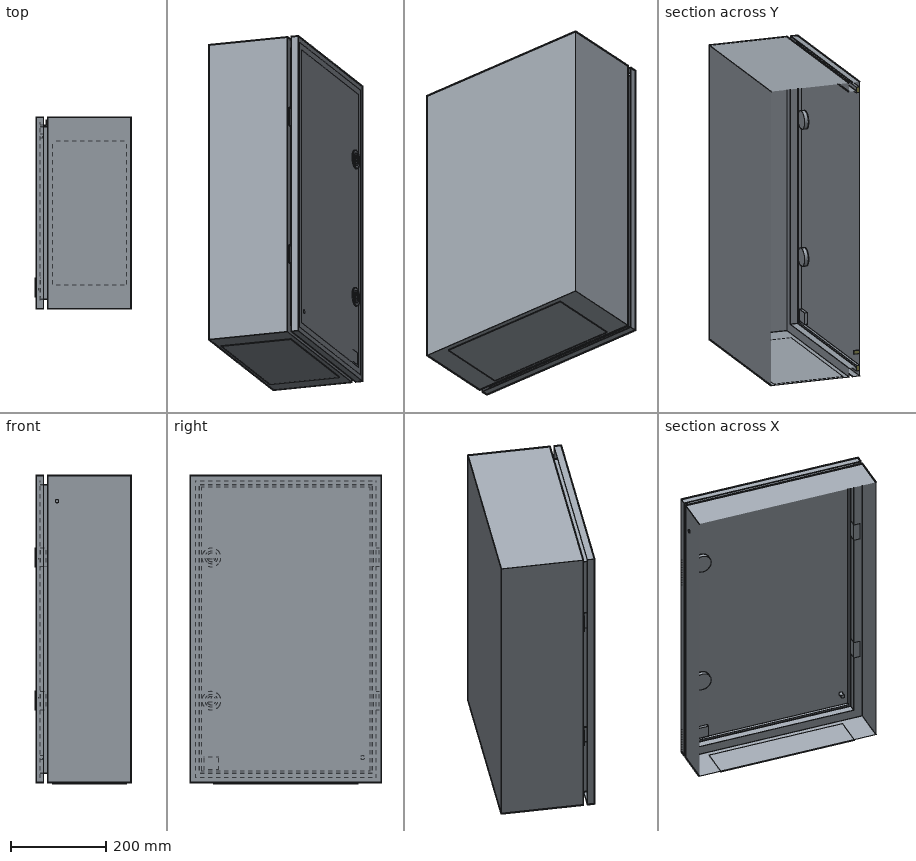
import cadquery as cq

WIDTH = 402.5
TOTAL_HEIGHT = 647.0
TOTAL_DEPTH = 202.0
SHEET = 1.5

GLAND_THICKNESS = 2.0
GLAND_LENGTH = 155.0
GLAND_WIDTH = 303.0
DOOR_GAP = 8.0
NECK_INSET = 19.5
EARTH_HOLE_DIAMETER = 7.0
EARTH_HOLE_SETBACK = 20.0
EARTH_HOLE_DROP = 54.5

HINGE_HEIGHT = 39.0
HINGE_LEAF_INSET = 6.0
HINGE_LEAF_THICKNESS = 2.5
HINGE_ARM_INSET = 17.0

LOCK_PROTRUSION = 2.0
DOOR_DEPTH = 16.0
GASKET_INSET = 11.5
GASKET_WIDTH = 13.0
GASKET_THICKNESS = 6.5
PAD_WIDTH = 30.5
PAD_HEIGHT = 26.0
PAD_THICKNESS = 6.5
PAD_SIDE_INSET = 44.5
PAD_RISE = 41.5
STUD_DIAMETER = 8.5
STUD_LENGTH = 11.5
STUD_SIDE_INSET = 40.0
STUD_RISE = 53.0

LOCK_SIDE_INSET = 45.0
LOCK_SPACING = 300.0
LOCK_DIAMETER = 39.5
LOCK_RING_DIAMETER = 26.5
LOCK_SOCKET_DIAMETER = 18.0
LOCK_SOCKET_DEPTH = 0.3
LOCK_KEY_DIAMETER = 13.0
LOCK_KEY_DEPTH = 6.5
LOCK_BODY_LENGTH = 11.5
LOCK_RING_DEPTH = 0.3

BOTTOM = GLAND_THICKNESS
HEIGHT = TOTAL_HEIGHT - GLAND_THICKNESS
TOP = TOTAL_HEIGHT
MID_Z = BOTTOM + HEIGHT / 2
LEFT = -WIDTH / 2
RIGHT = WIDTH / 2
DOOR_FRONT = LOCK_PROTRUSION
DOOR_INNER = DOOR_FRONT + SHEET
DOOR_BACK = DOOR_FRONT + DOOR_DEPTH
HOUSING_FRONT = DOOR_BACK + DOOR_GAP
HOUSING_DEPTH = TOTAL_DEPTH - HOUSING_FRONT
NECK_FRONT = DOOR_INNER + GASKET_THICKNESS
LOCK_Y = LEFT + LOCK_SIDE_INSET
LOCK_HEIGHTS = [MID_Z - LOCK_SPACING / 2, MID_Z + LOCK_SPACING / 2]


def block(x_start, x_end, inset):
    """Box between two X planes, inset equally from all four outer sides."""
    return (
        cq.Workplane("YZ", origin=(x_start, 0, MID_Z))
        .rect(WIDTH - 2 * inset, HEIGHT - 2 * inset)
        .extrude(x_end - x_start)
    )


def rod(x_start, x_end, y, z, diameter):
    """Cylinder along X."""
    return cq.Workplane("YZ", origin=(x_start, y, z)).circle(diameter / 2).extrude(x_end - x_start)


def bar(x_start, x_end, y, z, width, height):
    """Box along X, centred on y and z."""
    return cq.Workplane("YZ", origin=(x_start, y, z)).rect(width, height).extrude(x_end - x_start)


def make_housing():
    shell = block(HOUSING_FRONT, TOTAL_DEPTH, 0)
    neck = block(NECK_FRONT, HOUSING_FRONT + SHEET, NECK_INSET)
    housing = shell.union(neck)
    housing = housing.cut(block(HOUSING_FRONT + SHEET, TOTAL_DEPTH - SHEET, SHEET))
    housing = housing.cut(block(NECK_FRONT, HOUSING_FRONT + SHEET, NECK_INSET + SHEET))

    gland = cq.Workplane("XY", origin=(HOUSING_FRONT + HOUSING_DEPTH / 2, 0, 0))
    housing = housing.union(gland.rect(GLAND_LENGTH, GLAND_WIDTH).extrude(BOTTOM + SHEET))

    hole_x = HOUSING_FRONT + EARTH_HOLE_SETBACK
    hole = cq.Workplane("XZ", origin=(hole_x, LEFT, TOP - EARTH_HOLE_DROP))
    housing = housing.cut(hole.circle(EARTH_HOLE_DIAMETER / 2).extrude(-SHEET))

    for z in LOCK_HEIGHTS:
        housing = housing.union(make_hinge(z))
    return housing


def make_hinge(z):
    """Leaf on the housing front, with an arm that reaches into the door."""
    leaf_width = NECK_INSET - HINGE_LEAF_INSET
    leaf_y = RIGHT - HINGE_LEAF_INSET - leaf_width / 2
    arm_width = NECK_INSET - HINGE_ARM_INSET
    arm_y = RIGHT - HINGE_ARM_INSET - arm_width / 2
    leaf_front = HOUSING_FRONT - HINGE_LEAF_THICKNESS
    leaf = bar(leaf_front, HOUSING_FRONT + SHEET, leaf_y, z, leaf_width, HINGE_HEIGHT)
    arm = bar(NECK_FRONT, HOUSING_FRONT, arm_y, z, arm_width, HINGE_HEIGHT)
    return leaf.union(arm)


def make_door():
    hollow = block(DOOR_INNER, DOOR_BACK, SHEET)
    door = block(DOOR_FRONT, DOOR_BACK, 0).cut(hollow)

    gasket = block(DOOR_INNER, NECK_FRONT, GASKET_INSET)
    door = door.union(gasket.cut(block(DOOR_INNER, NECK_FRONT, GASKET_INSET + GASKET_WIDTH)))

    pad_y = LEFT + PAD_SIDE_INSET
    pad_z = BOTTOM + PAD_RISE
    door = door.union(bar(DOOR_INNER, DOOR_INNER + PAD_THICKNESS, pad_y, pad_z, PAD_WIDTH, PAD_HEIGHT))
    stud_y = RIGHT - STUD_SIDE_INSET
    door = door.union(rod(DOOR_INNER, DOOR_INNER + STUD_LENGTH, stud_y, BOTTOM + STUD_RISE, STUD_DIAMETER))

    for z in LOCK_HEIGHTS:
        door = add_lock(door, z)
    return door


def add_lock(door, z):
    """Round lock with a stepped face and a triangular key hole, apex up."""
    socket_floor = LOCK_RING_DEPTH + LOCK_SOCKET_DEPTH
    door = door.union(rod(0, LOCK_BODY_LENGTH, LOCK_Y, z, LOCK_DIAMETER))
    door = door.cut(rod(0, LOCK_RING_DEPTH, LOCK_Y, z, LOCK_RING_DIAMETER))
    door = door.cut(rod(0, socket_floor, LOCK_Y, z, LOCK_SOCKET_DIAMETER))
    key_hole = cq.Workplane("YZ", origin=(socket_floor, LOCK_Y, z)).transformed(rotate=(0, 0, 90))
    return door.cut(key_hole.polygon(3, LOCK_KEY_DIAMETER).extrude(LOCK_KEY_DEPTH))


housing = make_housing()
door = make_door()

result = cq.Compound.makeCompound([housing.val(), door.val()])